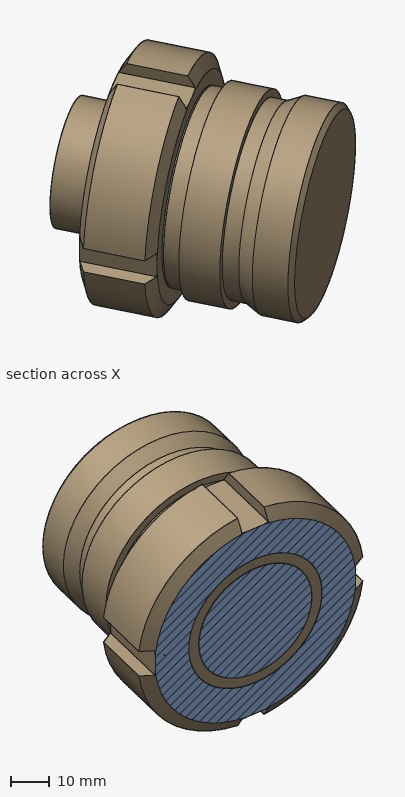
import cadquery as cq
import math

total_length = 69.0
nut_span = 69.55

stub_radius = 17.6

recess_radius = 20.65
recess_depth = 0.15

nut_start = 11.95
nut_end = 32.95
slot_width = 8.2
slot_floor = 31.15
slot_count = 4
nut_radius = math.hypot(nut_span / 2, slot_width / 2)
nut_face_radius = 31.15
nut_chamfer_length = 2.2

neck_radius = 26.85
neck_step_end = 33.4
neck_step_radius = 26.8
collar_radius = 29.1
collar_start = 38.2
collar_end = 49.2
flare_start = 53.7
flare_end = 58.0
end_chamfer_length = 1.4
end_face_radius = 27.6


def make_turned_body():
    """Revolve the half profile (distance along X, radius) about the X axis."""
    profile = [
        (0, 0),
        (0, stub_radius),
        (nut_start + recess_depth, stub_radius),
        (nut_start + recess_depth, recess_radius),
        (nut_start, recess_radius),
        (nut_start, nut_face_radius),
        (nut_start + nut_chamfer_length, nut_radius),
        (nut_end - nut_chamfer_length, nut_radius),
        (nut_end, nut_face_radius),
        (nut_end, neck_step_radius),
        (neck_step_end, neck_step_radius),
        (neck_step_end, neck_radius),
        (collar_start, neck_radius),
        (collar_start, collar_radius),
        (collar_end, collar_radius),
        (collar_end, neck_radius),
        (flare_start, neck_radius),
        (flare_end, collar_radius),
        (total_length - end_chamfer_length, collar_radius),
        (total_length, end_face_radius),
        (total_length, 0),
    ]
    return cq.Workplane("XY").polyline(profile).close().revolve(360, (0, 0, 0), (1, 0, 0))


def make_slot_cutter(angle):
    """Block for one spanner slot along the whole nut, turned about X."""
    return (
        cq.Workplane("XY")
        .box(nut_end - nut_start, slot_width, nut_radius, centered=(False, True, False))
        .translate((nut_start, 0, slot_floor))
        .rotate((0, 0, 0), (1, 0, 0), angle)
    )


result = make_turned_body()
for index in range(slot_count):
    result = result.cut(make_slot_cutter(index * 360 / slot_count))